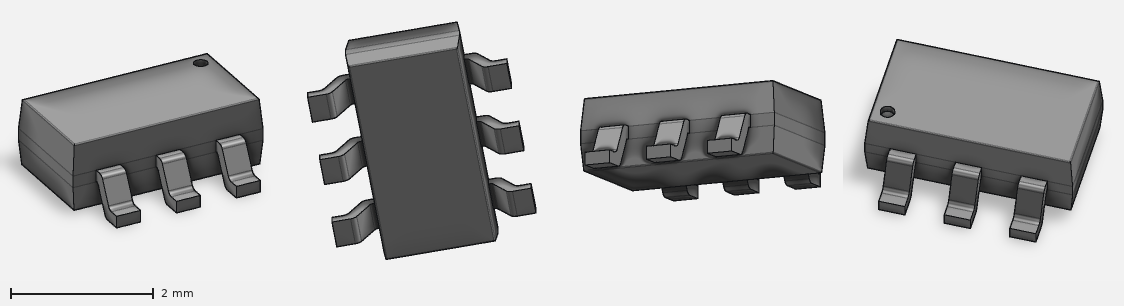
import cadquery as cq
import math

BODY_WIDTH = 1.625
BODY_LENGTH = 3.02
BODY_BOTTOM = 0.055
BODY_TOP = 1.1
DRAFT_ANGLE = 5.0
EDGE_RADIUS = 0.018

MARK_DIAMETER = 0.202
MARK_EDGE_DISTANCE = 0.263
MARK_DEPTH = 0.11

LEAD_SPAN = 2.84
LEAD_THICKNESS = 0.185
LEAD_WIDTH = 0.38
LEAD_PITCH = 0.95
LEADS_PER_SIDE = 3
LEAD_TOP = 0.63
LEG_ANGLE = 62.8
UPPER_BEND_RADIUS = 0.097
FOOT_BEND_RADIUS = 0.1
SHOULDER_BEND_RADIUS = 0.05
FOOT_LENGTH = 0.215

BAND_TOP = LEAD_TOP
BAND_BOTTOM = LEAD_TOP - LEAD_THICKNESS


def housing_half(band_z, end_z):
    """Drafted half of the housing, from the band to an outer face with rounded edges."""
    height = abs(end_z - band_z)
    half = (
        cq.Workplane("XY")
        .rect(BODY_WIDTH, BODY_LENGTH)
        .extrude(height, taper=DRAFT_ANGLE)
        .faces(">Z")
        .fillet(EDGE_RADIUS)
    )
    if end_z < band_z:
        half = half.mirror("XY")
    return half.translate((0, 0, band_z))


def make_housing():
    band = (
        cq.Workplane("XY", origin=(0, 0, BAND_BOTTOM))
        .rect(BODY_WIDTH, BODY_LENGTH)
        .extrude(LEAD_THICKNESS)
    )
    mark_x = MARK_EDGE_DISTANCE - BODY_WIDTH / 2
    mark_y = BODY_LENGTH / 2 - MARK_EDGE_DISTANCE
    mark = (
        cq.Workplane("XY", origin=(mark_x, mark_y, BODY_TOP))
        .circle(MARK_DIAMETER / 2)
        .extrude(-MARK_DEPTH)
    )
    upper_half = housing_half(BAND_TOP, BODY_TOP)
    lower_half = housing_half(BAND_BOTTOM, BODY_BOTTOM)
    return band.union(upper_half).union(lower_half).cut(mark)


def make_lead():
    """Lead on the +X side, centred on Y = 0, butting against the housing band."""
    root_x = BODY_WIDTH / 2
    tip_x = LEAD_SPAN / 2
    leg_angle = math.radians(LEG_ANGLE)
    leg_run = (LEAD_TOP - LEAD_THICKNESS) / math.tan(leg_angle)
    corner_shift = LEAD_THICKNESS * math.tan(leg_angle / 2)

    foot_corner_x = tip_x - FOOT_LENGTH
    shoulder_corner_x = foot_corner_x - leg_run
    under_foot_corner_x = foot_corner_x - corner_shift
    under_shoulder_corner_x = shoulder_corner_x - corner_shift
    lead = (
        cq.Workplane("XZ")
        .moveTo(root_x, LEAD_TOP)
        .lineTo(shoulder_corner_x, LEAD_TOP)
        .lineTo(foot_corner_x, LEAD_THICKNESS)
        .lineTo(tip_x, LEAD_THICKNESS)
        .lineTo(tip_x, 0)
        .lineTo(under_foot_corner_x, 0)
        .lineTo(under_shoulder_corner_x, BAND_BOTTOM)
        .lineTo(root_x, BAND_BOTTOM)
        .close()
        .extrude(LEAD_WIDTH / 2, both=True)
    )
    bends = [
        (shoulder_corner_x, LEAD_TOP, UPPER_BEND_RADIUS),
        (foot_corner_x, LEAD_THICKNESS, UPPER_BEND_RADIUS),
        (under_foot_corner_x, 0, FOOT_BEND_RADIUS),
        (under_shoulder_corner_x, BAND_BOTTOM, SHOULDER_BEND_RADIUS),
    ]
    for x, z, radius in bends:
        bend_edge = cq.selectors.NearestToPointSelector((x, 0, z))
        lead = lead.edges("|Y").edges(bend_edge).fillet(radius)
    return lead


def make_leads():
    right_lead = make_lead()
    left_lead = right_lead.mirror("YZ")
    leads = []
    for index in range(LEADS_PER_SIDE):
        y = (index - (LEADS_PER_SIDE - 1) / 2) * LEAD_PITCH
        for lead in (left_lead, right_lead):
            leads.append(lead.translate((0, y, 0)).val())
    return leads


housing = make_housing()
leads = make_leads()
result = cq.Compound.makeCompound([housing.val(), *leads])